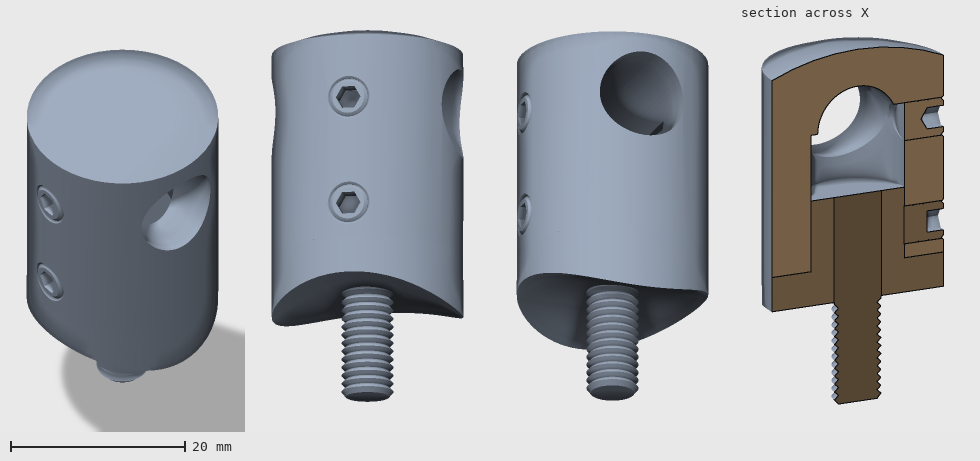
import cadquery as cq
import math

body_diameter = 22.0
body_radius = body_diameter / 2
joint_z = 16.43
rim_z = 40.2
dome_z = 42.45
bore_diameter = 10.2
bore_z = 32.85
spigot_diameter = 11.9
spigot_radius = spigot_diameter / 2
spigot_top_z = 25.0

tube_radius = 21.22
saddle_top_z = 12.3

thread_radius = 2.993
root_radius = 2.5
thread_pitch = 0.955
first_crest_z = 0.6
crest_count = 13

screw_spacing = 12.45
screw_diameter = 4.5
screw_radius = screw_diameter / 2
screw_face_radius = 1.85
screw_chamfer_depth = 0.35
screw_hole_chamfer = 0.2
screw_length = body_radius - spigot_radius
socket_flats = 2.5
socket_depth = 2.12
drill_point_angle = 118.0

upper_screw_z = bore_z
lower_screw_z = bore_z - screw_spacing


def upright_cylinder(radius, bottom_z, top_z):
    return cq.Workplane("XY").workplane(offset=bottom_z).circle(radius).extrude(top_z - bottom_z)


def at_screw_face(z):
    """Workplane on the outermost -Y line of the body, with its normal toward -Y."""
    return cq.Workplane("XZ", origin=(0, -body_radius, z))


def cut_screw_hole(housing, z):
    housing = housing.cut(at_screw_face(z).circle(screw_radius).extrude(-body_radius))

    mouth_edge = cq.selectors.BoxSelector(
        (-screw_diameter, -body_radius - screw_radius, z - screw_diameter),
        (screw_diameter, -body_radius + screw_radius, z + screw_diameter),
    )
    return housing.edges(mouth_edge).chamfer(screw_hole_chamfer)


def make_housing():
    dome_height = dome_z - rim_z
    dome_radius = (body_radius**2 + dome_height**2) / (2 * dome_height)
    half_chord = body_radius / 2
    arc_middle_z = dome_z - dome_radius + math.sqrt(dome_radius**2 - half_chord**2)
    housing = (
        cq.Workplane("XZ")
        .moveTo(0, joint_z)
        .lineTo(body_radius, joint_z)
        .lineTo(body_radius, rim_z)
        .threePointArc((half_chord, arc_middle_z), (0, dome_z))
        .close()
        .revolve(360, (0, 0, 0), (0, 1, 0))
    )

    housing = housing.cut(upright_cylinder(spigot_radius, joint_z, bore_z))

    rod_bore = (
        cq.Workplane("YZ", origin=(-body_radius, 0, bore_z))
        .circle(bore_diameter / 2)
        .extrude(body_diameter)
    )
    housing = housing.cut(rod_bore)

    for z in (upper_screw_z, lower_screw_z):
        housing = cut_screw_hole(housing, z)
    return housing


def make_base():
    foot = upright_cylinder(body_radius, 0, joint_z)
    tube = (
        cq.Workplane("XZ", origin=(0, body_radius, saddle_top_z - tube_radius))
        .circle(tube_radius)
        .extrude(body_diameter)
    )
    spigot = upright_cylinder(spigot_radius, joint_z, spigot_top_z)
    stud_hole = upright_cylinder(thread_radius, 0, spigot_top_z)
    return foot.cut(tube).union(spigot).cut(stud_hole)


def make_stud():
    outline = cq.Workplane("XZ").moveTo(0, 0).lineTo(root_radius, 0)
    for i in range(crest_count - 1):
        crest_z = first_crest_z + i * thread_pitch
        outline = outline.lineTo(thread_radius, crest_z)
        outline = outline.lineTo(root_radius, crest_z + thread_pitch / 2)
    shank_z = first_crest_z + (crest_count - 1) * thread_pitch
    outline = outline.lineTo(thread_radius, shank_z).lineTo(thread_radius, spigot_top_z)
    return outline.lineTo(0, spigot_top_z).close().revolve(360, (0, 0, 0), (0, 1, 0))


def make_set_screw(z, has_drill_point):
    screw = (
        cq.Workplane("XY", origin=(0, -body_radius, z))
        .lineTo(screw_face_radius, 0)
        .lineTo(screw_radius, screw_chamfer_depth)
        .lineTo(screw_radius, screw_length)
        .lineTo(0, screw_length)
        .close()
        .revolve(360, (0, 0, 0), (0, 1, 0))
    )

    socket_corners = socket_flats / math.cos(math.pi / 6)
    screw = screw.cut(at_screw_face(z).polygon(6, socket_corners).extrude(-socket_depth))

    if has_drill_point:
        point_radius = socket_flats / 2
        point_depth = point_radius / math.tan(math.radians(drill_point_angle / 2))
        drill_point = (
            cq.Workplane("XY", origin=(0, socket_depth - body_radius, z))
            .lineTo(point_radius, 0)
            .lineTo(0, point_depth)
            .close()
            .revolve(360, (0, 0, 0), (0, 1, 0))
        )
        screw = screw.cut(drill_point)
    return screw


housing = make_housing()
base = make_base()
stud = make_stud()
set_screws = [
    make_set_screw(z, has_drill_point)
    for z, has_drill_point in ((upper_screw_z, True), (lower_screw_z, False))
]

result = cq.Compound.makeCompound(
    [housing.val(), base.val(), stud.val(), *[screw.val() for screw in set_screws]]
)